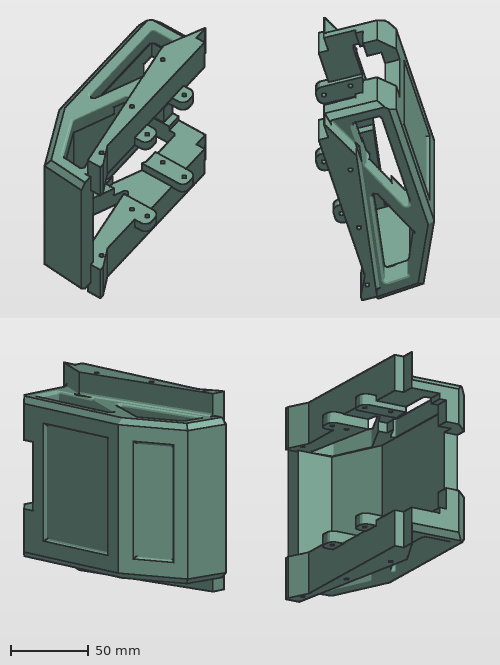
import cadquery as cq

length = 145.2
body_height = 106.0
half_height = body_height / 2
edge_chamfer = 3.9
wall = 10.0
blend = 2.0
outside = 14.5

corner = 10.0
bend_y = 46.9
nose_x = 19.9
nose_y = 2.9
front_end_x = 51.4
rear_end_x = 45.7

flange_height = 28.3
top_rise = 15.0
bottom_rise = 10.0
flange_x = 52.3
flange_front_y = 10.0
flange_outline = [
    (45.2, length),
    (rear_end_x, length),
    (rear_end_x, length - corner),
    (flange_x, length - corner),
    (flange_x, 27.5),
    (59.3, 13.0),
    (59.3, flange_front_y),
    (49.2, flange_front_y),
    (32.1, 116.9),
]
top_flange_high = half_height + top_rise
top_flange_low = top_flange_high - flange_height
bottom_flange_low = -half_height - bottom_rise
bottom_flange_high = bottom_flange_low + flange_height

ear_end_x = 62.2
ear_thickness = 7.4
ear_radius = 5.0
ear_spans = [(57.7, 71.3), (99.0, 112.0)]

hole_diameter = 2.8
screw_holes = [(38.8, 107.6), (45.7, 63.8), (52.7, 20.5), (57.2, 64.8), (57.2, 105.7)]

rear_window = [(10.5, 58.0), (10.5, 134.6), (29.8, 134.6), (29.8, 102.4)]
front_window = [(31.8, 84.2), (14.1, 43.0), (26.7, 14.4), (43.1, 12.9)]

post_x = 19.6
cavity_bend_y = 49.1
cavity_front_x = 26.5
cavity_front_y = 12.8

front_ear, rear_ear = ear_spans
plate_recesses = [
    (post_x, front_ear[1], rear_ear[0], 6.8),
    (24.5, rear_ear[1], length + outside, 3.8),
]

notch_depth = 18.5
notch_low = -20.5
notch_high = 25.0

panel_height = 77.8
panel_depth = blend
side_panel_low_y = 57.0
side_panel_high_y = 116.9
nose_panel_low_y = 11.9
nose_panel_high_y = 37.6


def prism(outline, low, high):
    """Upright solid with the given plan outline."""
    return cq.Workplane("XY").workplane(offset=low).polyline(outline).close().extrude(high - low)


def block(x_span, y_span, z_span):
    """Box given by its low and high limits along each axis."""
    spans = (x_span, y_span, z_span)
    sizes = [high - low for low, high in spans]
    corner_point = tuple(low for low, high in spans)
    return cq.Workplane("XY").box(*sizes, centered=False).translate(corner_point)


def edge_nearest(x, y, z):
    return cq.selectors.NearestToPointSelector((x, y, z))


def make_body():
    """Solid body with its outer top and bottom edges chamfered; the rear corner stays sharp."""
    outline = [
        (0, bend_y),
        (0, length - corner),
        (corner, length),
        (rear_end_x, length),
        (rear_end_x, length - corner),
        (front_end_x, length - corner),
        (front_end_x, 0),
        (nose_x, nose_y),
    ]
    chamfered_sides = [
        (0, length / 2),
        (rear_end_x / 2, length),
        (nose_x / 2, (nose_y + bend_y) / 2),
        ((nose_x + front_end_x) / 2, nose_y / 2),
    ]
    body = prism(outline, -half_height, half_height)
    for z in (-half_height, half_height):
        for x, y in chamfered_sides:
            body = body.edges(edge_nearest(x, y, z)).chamfer(edge_chamfer)
    return body


def make_cavity():
    """Space between the flanges, with recesses into both plates."""
    far_x = ear_end_x + outside
    outline = [
        (wall, cavity_bend_y),
        (wall, length - wall),
        (post_x, length - wall),
        (post_x, length + outside),
        (far_x, length + outside),
        (far_x, cavity_front_y),
        (cavity_front_x, cavity_front_y),
    ]
    cavity = prism(outline, bottom_flange_high, top_flange_low)
    for x, low_y, high_y, depth in plate_recesses:
        z_span = (bottom_flange_high - depth, top_flange_low + depth)
        cavity = cavity.union(block((x, far_x), (low_y, high_y), z_span))
    return cavity


def add_flanges(body):
    """Both flanges, blended into the plates along their two slanted faces."""
    body = body.union(prism(flange_outline, top_flange_low, top_flange_high))
    body = body.union(prism(flange_outline, bottom_flange_low, bottom_flange_high))
    front_end, apex, rear_end = flange_outline[-2], flange_outline[-1], flange_outline[0]
    for z in (-half_height, half_height):
        for end in (rear_end, front_end):
            middle = ((end[0] + apex[0]) / 2, (end[1] + apex[1]) / 2)
            body = body.edges(edge_nearest(*middle, z)).fillet(blend)
    return body


def add_ears(body):
    for low_z in (top_flange_low, bottom_flange_high - ear_thickness):
        for y_span in ear_spans:
            root_x = flange_x - ear_radius
            ear = block((root_x, ear_end_x), y_span, (low_z, low_z + ear_thickness))
            body = body.union(ear.edges("|Z and >X").fillet(ear_radius))
    return body


def window_cutter(outline):
    """Window prism from Z = 0 up to the plate surface, flared there by a rounded rim."""
    slab = block((0, flange_x), (0, length), (0, half_height))
    hole = prism(outline, 0, half_height).edges("|Z").fillet(blend)
    rim_low = (blend, blend, half_height - blend)
    rim_high = (flange_x - blend, length - blend, half_height + blend)
    rim = cq.selectors.BoxSelector(rim_low, rim_high)
    pierced = slab.cut(hole).edges(rim).fillet(blend)
    return slab.cut(pierced)


def panel_cutter(start, end):
    """Shallow upright panel between two plan points of a wall, with a rounded foot."""
    along = cq.Vector(end[0] - start[0], end[1] - start[1], 0)
    middle = ((start[0] + end[0]) / 2, (start[1] + end[1]) / 2, 0)
    inward = along.cross(cq.Vector(0, 0, -1))
    face = cq.Plane(origin=middle, xDir=along, normal=inward)
    outer = cq.Workplane(face).workplane(offset=-blend)
    panel = outer.rect(along.Length, panel_height).extrude(panel_depth + blend)
    floor_centre = cq.Vector(middle) + inward.normalized() * panel_depth
    return panel.faces(edge_nearest(*floor_centre.toTuple())).edges().fillet(blend)


def nose_wall_point(y):
    return (nose_x * (bend_y - y) / (bend_y - nose_y), y)


result = add_ears(add_flanges(make_body()).cut(make_cavity()))

for window in (rear_window, front_window):
    cutter = window_cutter(window)
    result = result.cut(cutter).cut(cutter.mirror("XY"))

result = result.cut(panel_cutter((0, side_panel_high_y), (0, side_panel_low_y)))
result = result.cut(panel_cutter(nose_wall_point(nose_panel_high_y), nose_wall_point(nose_panel_low_y)))

notch_x = (-outside, ear_end_x + outside)
notch_y = (length - notch_depth, length + outside)
result = result.cut(block(notch_x, notch_y, (notch_low, notch_high)))

for x, y in screw_holes:
    drill = cq.Workplane("XY").center(x, y).circle(hole_diameter / 2)
    result = result.cut(drill.extrude(length, both=True))